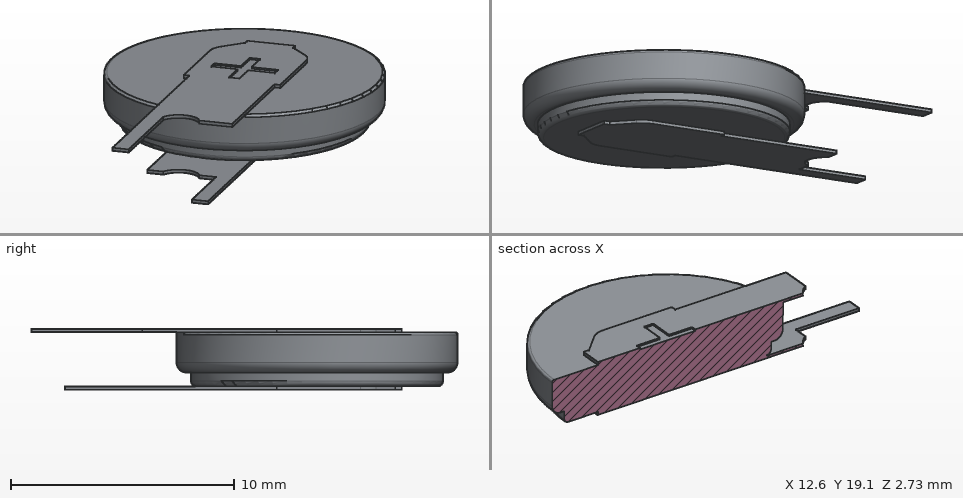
import cadquery as cq

total_length = 19.1
total_height = 2.73
tab_thickness = 0.15

can_diameter = 12.6
can_bottom_z = 0.76
can_top_z = total_height - tab_thickness
can_top_fillet = 0.11
can_bottom_fillet = 0.48
cap_diameter = 11.3
cap_bottom_z = tab_thickness
cap_fillet = 0.25

head_half_width = 2.27
head_tip_half_width = 1.13
head_tip_y = 3.8
head_shoulder_y = 3.5
head_end_y = -1.8
head_corner_radius = 1.0

strip_half_width = 2.0
strip_end_y = -7.83
leg_width = 0.76
notch_width = 1.7
notch_depth = 0.53
top_leg_end_y = can_diameter / 2 - total_length
bottom_leg_end_y = -11.29

plus_length = 3.0
plus_arm_width = 0.5
plus_depth = 0.08


def make_cell():
    can = (
        cq.Workplane("XY")
        .workplane(offset=can_bottom_z)
        .circle(can_diameter / 2)
        .extrude(can_top_z - can_bottom_z)
    )
    sharp_rim = can.intersect(
        cq.Workplane("XY")
        .box(2 * strip_half_width, can_diameter, total_height, centered=(True, False, False))
        .translate((0, -can_diameter, 0))
    )
    can = can.faces(">Z").edges().fillet(can_top_fillet)
    can = can.faces("<Z").edges().fillet(can_bottom_fillet)
    rim_slice = (
        cq.Workplane("XY")
        .workplane(offset=can_top_z - can_top_fillet)
        .rect(can_diameter, can_diameter)
        .extrude(can_top_fillet)
    )
    can = can.union(sharp_rim.intersect(rim_slice))

    cap = (
        cq.Workplane("XY")
        .workplane(offset=cap_bottom_z)
        .circle(cap_diameter / 2)
        .extrude(can_bottom_z - cap_bottom_z)
        .faces("<Z")
        .edges()
        .fillet(cap_fillet)
    )
    return can.union(cap)


def make_tab(bottom_z, leg_end_y, leg_side):
    """Flat tab with its leg on the side given by the sign leg_side (-1 left, +1 right)."""
    slope_end_y = head_shoulder_y - (head_half_width - head_tip_half_width)
    head = (
        cq.Workplane("XY")
        .polyline([
            (-head_half_width, head_end_y),
            (head_half_width, head_end_y),
            (head_half_width, slope_end_y),
            (head_tip_half_width, head_shoulder_y),
            (head_tip_half_width, head_tip_y),
            (-head_tip_half_width, head_tip_y),
            (-head_tip_half_width, head_shoulder_y),
            (-head_half_width, slope_end_y),
        ])
        .close()
        .extrude(tab_thickness)
    )
    for side in (-1, 1):
        corner = cq.selectors.NearestToPointSelector(
            (side * head_half_width, slope_end_y, tab_thickness / 2)
        )
        head = head.edges("|Z").edges(corner).fillet(head_corner_radius)

    strip = (
        cq.Workplane("XY")
        .rect(2 * strip_half_width, head_end_y - strip_end_y)
        .extrude(tab_thickness)
        .translate((0, (head_end_y + strip_end_y) / 2, 0))
    )
    leg = (
        cq.Workplane("XY")
        .rect(leg_width, strip_end_y - leg_end_y)
        .extrude(tab_thickness)
        .translate((leg_side * (strip_half_width - leg_width / 2), (strip_end_y + leg_end_y) / 2, 0))
    )
    notch_left_x = leg_width - strip_half_width
    notch = (
        cq.Workplane("XY")
        .moveTo(notch_left_x, strip_end_y)
        .threePointArc(
            (notch_left_x + notch_width / 2, strip_end_y + notch_depth),
            (notch_left_x + notch_width, strip_end_y),
        )
        .close()
        .extrude(tab_thickness)
    )
    tab = head.union(strip).cut(notch).union(leg)
    return tab.translate((0, 0, bottom_z))


def make_plus():
    plus = cq.Workplane("XY").rect(plus_length, plus_arm_width).extrude(plus_depth)
    plus = plus.union(cq.Workplane("XY").rect(plus_arm_width, plus_length).extrude(plus_depth))
    return plus.translate((0, 0, total_height - plus_depth))


top_tab = make_tab(can_top_z, top_leg_end_y, leg_side=-1).cut(make_plus())
bottom_tab = make_tab(0, bottom_leg_end_y, leg_side=1)

result = make_cell().union(top_tab).union(bottom_tab)